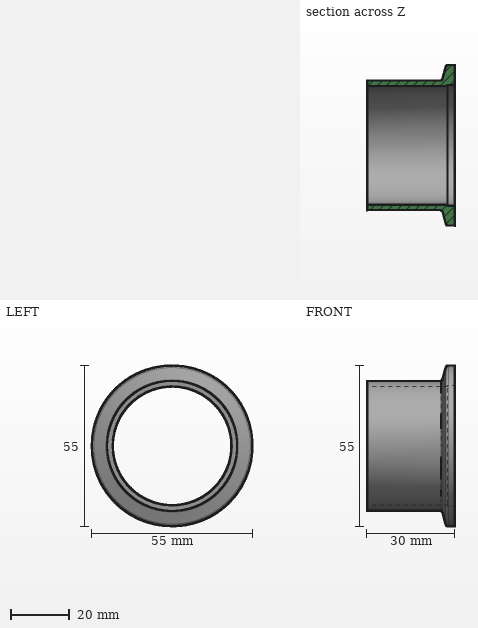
import cadquery as cq
import math

length = 30.0
flange_diameter = 55.0
tube_diameter = 44.5
bore_diameter = 40.5
counterbore_diameter = 41.2
counterbore_depth = 2.5

rim_thickness = 3.0
taper_angle = 15.0
rim_fillet = 1.0
root_fillet = 0.5

flange_radius = flange_diameter / 2
tube_radius = tube_diameter / 2
bore_radius = bore_diameter / 2
counterbore_radius = counterbore_diameter / 2

rim_x = length - rim_thickness
taper_length = (flange_radius - tube_radius) * math.tan(math.radians(taper_angle))
root_x = rim_x - taper_length
counterbore_x = length - counterbore_depth


def circle_edges(body, x, radius):
    """Select the circular edge around the X axis at the given place and radius."""
    half_gap = 0.05

    def box(half_width):
        return cq.selectors.BoxSelector(
            (x - half_gap, -half_width, -half_width),
            (x + half_gap, half_width, half_width),
            boundingbox=True,
        )

    return body.edges(box(radius + half_gap) - box(radius - half_gap))


section = [
    (0, bore_radius),
    (0, tube_radius),
    (root_x, tube_radius),
    (rim_x, flange_radius),
    (length, flange_radius),
    (length, counterbore_radius),
    (counterbore_x, counterbore_radius),
    (counterbore_x, bore_radius),
]
body = cq.Workplane("XY").polyline(section).close().revolve(360, (0, 0, 0), (1, 0, 0))

body = circle_edges(body, rim_x, flange_radius).fillet(rim_fillet)
result = circle_edges(body, root_x, tube_radius).fillet(root_fillet)